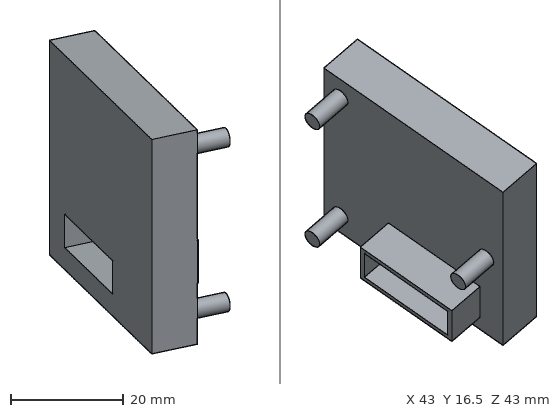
import cadquery as cq

plate_side = 43.0
plate_thickness = 9.0

back_projection = 7.52
total_depth = plate_thickness + back_projection

window_left = 6.5
window_bottom = 4.45
window_width = 20.0
window_height = 6.65
collar_wall = 1.0

pin_diameter = 3.55
pin_side_inset = 4.0
pin_end_inset = 5.0
pin_right = plate_side - pin_side_inset
pin_centers = [
    (pin_side_inset, plate_side / 2),
    (pin_right, pin_end_inset),
    (pin_right, plate_side - pin_end_inset),
]


def window_block(margin, front, depth):
    """Box around the window, grown by margin, running back from Y = front."""
    return cq.Workplane("XY").box(
        window_width + 2 * margin,
        depth,
        window_height + 2 * margin,
        centered=False,
    ).translate((window_left - margin, front, window_bottom - margin))


def back_pin(x, z):
    """Pin standing on the back face of the plate, axis along +Y."""
    axis = cq.Vector(0, 1, 0)
    base = cq.Vector(x, plate_thickness, z)
    return cq.Workplane(cq.Solid.makeCylinder(pin_diameter / 2, back_projection, base, axis))


plate = cq.Workplane("XY").box(plate_side, plate_thickness, plate_side, centered=False)
collar = window_block(collar_wall, plate_thickness, back_projection)
window = window_block(0, 0, total_depth)

result = plate.union(collar)
for pin_x, pin_z in pin_centers:
    result = result.union(back_pin(pin_x, pin_z))
result = result.cut(window)